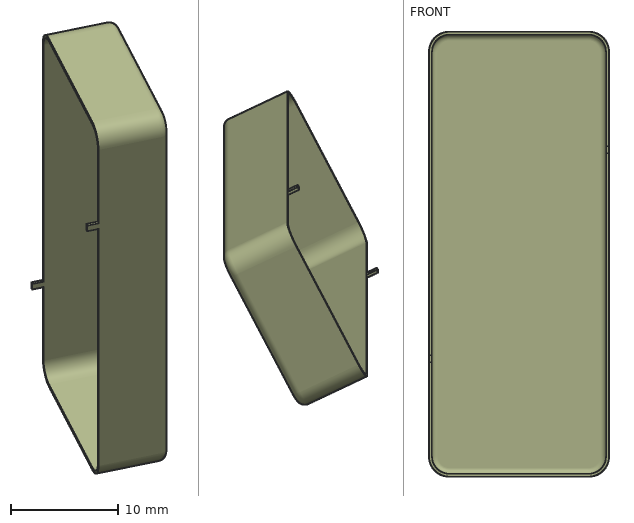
import cadquery as cq

width = 16.8
height = 41.5
overall_depth = 8.0

wall = 0.3
corner_radius = 1.9
back_edge_radius = 0.8
floor_edge_radius = 0.55

tab_length = 1.1
tab_height = 0.65
tab_offset = 9.75

tray_depth = overall_depth - tab_length


def rounded_block(block_width, block_height, side_radius, back_radius, front_y, back_y):
    """Block with rounded corners along Y and a rounded edge around its back (+Y) face."""
    return (
        cq.Workplane("XZ", origin=(0, back_y, 0))
        .rect(block_width, block_height)
        .extrude(back_y - front_y)
        .edges("|Y")
        .fillet(side_radius)
        .faces(">Y")
        .edges()
        .fillet(back_radius)
    )


def tab(side):
    """Tab flush with one side wall; side is +1 for +X (upper) or -1 for -X (lower)."""
    root_overlap = wall
    center_x = side * (width - wall) / 2
    center_y = (root_overlap - tab_length) / 2
    return (
        cq.Workplane("XY")
        .box(wall, tab_length + root_overlap, tab_height)
        .translate((center_x, center_y, side * tab_offset))
    )


outer = rounded_block(width, height, corner_radius, back_edge_radius, 0, tray_depth)
cavity = rounded_block(
    width - 2 * wall,
    height - 2 * wall,
    corner_radius - wall,
    floor_edge_radius,
    0,
    tray_depth - wall,
)
result = outer.cut(cavity)

for side in (-1, 1):
    result = result.union(tab(side))